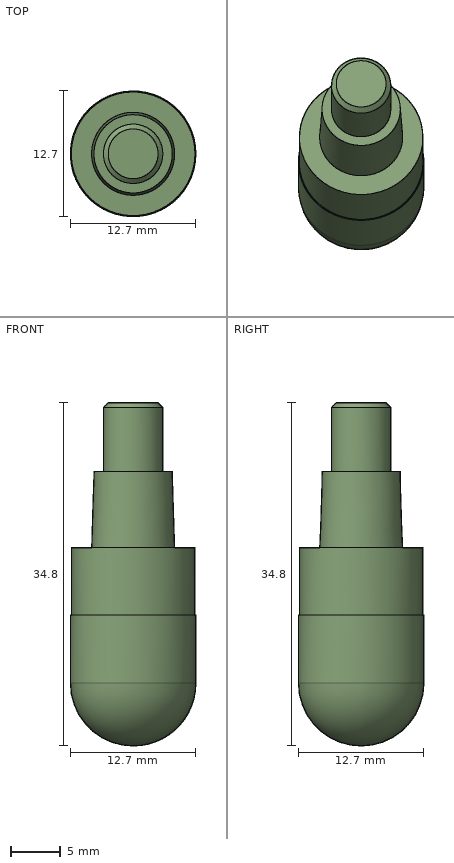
import cadquery as cq

TOTAL_LENGTH = 34.75
HOUSING_TOP = 20.08
STEP_LEVEL = 13.25

HOUSING_DIAMETER = 12.7
UPPER_DIAMETER = 12.5
DOME_RADIUS = HOUSING_DIAMETER / 2

TAPER_LOWER_DIAMETER = 8.4
TAPER_UPPER_DIAMETER = 7.92
TIP_DIAMETER = 6.0
TIP_LENGTH = 6.95
TIP_CHAMFER = 0.5
TAPER_TOP = TOTAL_LENGTH - TIP_LENGTH


def make_housing():
    """Revolve the domed, stepped housing about the Z axis."""
    arc_offset = DOME_RADIUS * 0.5 ** 0.5
    return (
        cq.Workplane("XZ")
        .threePointArc((arc_offset, DOME_RADIUS - arc_offset), (DOME_RADIUS, DOME_RADIUS))
        .lineTo(DOME_RADIUS, STEP_LEVEL)
        .lineTo(UPPER_DIAMETER / 2, STEP_LEVEL)
        .lineTo(UPPER_DIAMETER / 2, HOUSING_TOP)
        .lineTo(0, HOUSING_TOP)
        .close()
        .revolve(360, (0, 0), (0, 1))
    )


def make_pin():
    """Revolve the pin, which stands on the flat top of the housing."""
    tip_radius = TIP_DIAMETER / 2
    return (
        cq.Workplane("XZ")
        .moveTo(0, HOUSING_TOP)
        .lineTo(TAPER_LOWER_DIAMETER / 2, HOUSING_TOP)
        .lineTo(TAPER_UPPER_DIAMETER / 2, TAPER_TOP)
        .lineTo(tip_radius, TAPER_TOP)
        .lineTo(tip_radius, TOTAL_LENGTH - TIP_CHAMFER)
        .lineTo(tip_radius - TIP_CHAMFER, TOTAL_LENGTH)
        .lineTo(0, TOTAL_LENGTH)
        .close()
        .revolve(360, (0, 0), (0, 1))
    )


housing = make_housing()
pin = make_pin()
result = cq.Compound.makeCompound([housing.val(), pin.val()])